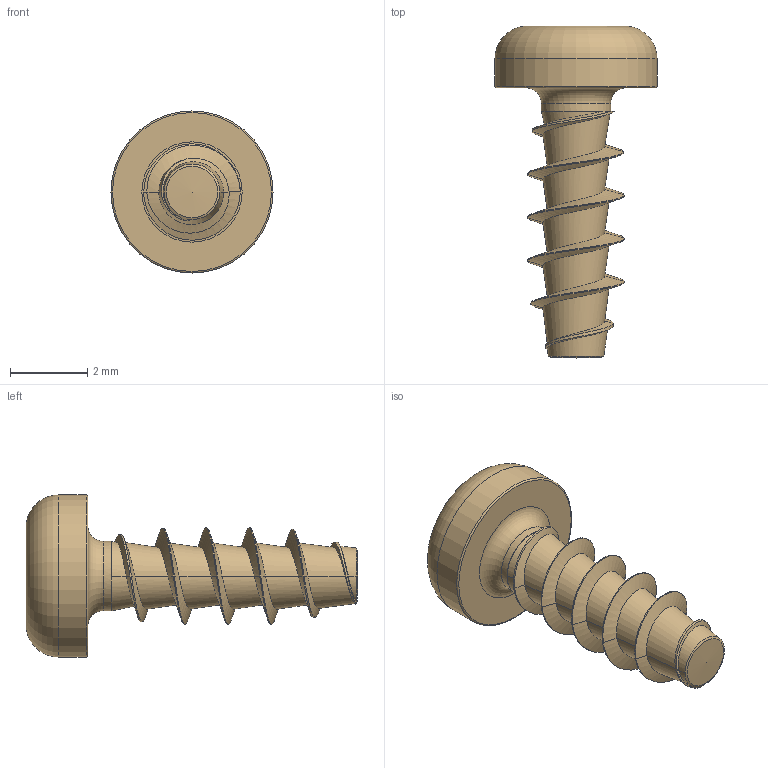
import cadquery as cq
import math


HEAD_RADIUS = 2.1
HEAD_HEIGHT = 1.6
HEAD_CROWN_RADIUS = 0.84
HEAD_EDGE_RADIUS = 0.04

SHANK_LENGTH = 7.0
NECK_RADIUS = 0.9
NECK_FILLET = 0.4
NECK_LENGTH = 0.61
TIP_RIM_SLOPE = 0.5
TIP_CONE_RADIUS = 0.67
TIP_CONE_HEIGHT = 0.02

PITCH = 1.12
FIRST_CREST_DEPTH = 0.55
FIRST_STATION = -2
LAST_STATION = 12
CREST_RADIUS = 1.25
CREST_WIDTH = 0.025
UPPER_FLANK_ANGLE = 15.5
LOWER_FLANK_ANGLE = 17.0
ROOT_TOP_RADIUS = 0.86
ROOT_BOTTOM_RADIUS = 0.74

CREST_RADIUS_AT = {-2: 1.15, -1: 1.15, 0: 1.0, 1: 1.14, 2: 1.23, 9: 1.17, 10: 0.96, 11: 0.79, 12: 0.71}
CREST_WIDTH_AT = {0: 0.06, 1: 0.04, 10: 0.09, 11: 0.05}
ROOT_TOP_RADIUS_AT = {-2: 1.03, -1: 1.03, 0: 0.89, 10: 0.82, 11: 0.745, 12: 0.7}
ROOT_BOTTOM_RADIUS_AT = {-2: 1.03, -1: 1.03, 0: 0.92, 1: 0.81, 12: 0.68, 13: 0.64, 14: 0.6}

STATIONS_PER_TURN = 2
CYLINDRICAL = 360.0
HALF_PITCH = PITCH / STATIONS_PER_TURN
TIP_EDGE_Z = -SHANK_LENGTH + TIP_CONE_HEIGHT
THREAD_TOP_Z = -NECK_LENGTH


def revolve_about_z(profile):
    """Full turn of an XZ outline about the screw axis."""
    return profile.revolve(360, (0, 0, 0), (0, 1, 0))


def make_head():
    """Pan head with a rounded crown and a slightly rounded lower edge."""
    profile = (
        cq.Workplane("XZ")
        .lineTo(HEAD_RADIUS - HEAD_EDGE_RADIUS, 0)
        .radiusArc((HEAD_RADIUS, HEAD_EDGE_RADIUS), -HEAD_EDGE_RADIUS)
        .lineTo(HEAD_RADIUS, HEAD_HEIGHT - HEAD_CROWN_RADIUS)
        .radiusArc((HEAD_RADIUS - HEAD_CROWN_RADIUS, HEAD_HEIGHT), -HEAD_CROWN_RADIUS)
        .lineTo(0, HEAD_HEIGHT)
        .close()
    )
    return revolve_about_z(profile)


def make_neck():
    """Short cylinder between the head and the thread, with a fillet under the head."""
    profile = (
        cq.Workplane("XZ")
        .moveTo(0, HEAD_EDGE_RADIUS)
        .lineTo(NECK_RADIUS + NECK_FILLET, HEAD_EDGE_RADIUS)
        .lineTo(NECK_RADIUS + NECK_FILLET, 0)
        .radiusArc((NECK_RADIUS, -NECK_FILLET), -NECK_FILLET)
        .lineTo(NECK_RADIUS, THREAD_TOP_Z)
        .lineTo(0, THREAD_TOP_Z)
        .close()
    )
    return revolve_about_z(profile)


def crest_z(station):
    return -FIRST_CREST_DEPTH - station * HALF_PITCH


def crest_radius(station):
    return CREST_RADIUS_AT.get(station, CREST_RADIUS)


def crest_half_width(station):
    return CREST_WIDTH_AT.get(station, CREST_WIDTH) / 2




def upper_foot(station):
    radius = ROOT_BOTTOM_RADIUS_AT.get(station, ROOT_BOTTOM_RADIUS)
    rise = (crest_radius(station) - radius) * math.tan(math.radians(UPPER_FLANK_ANGLE))
    return radius, crest_z(station) + crest_half_width(station) + rise


def crest_top(station):
    return crest_radius(station), crest_z(station) + crest_half_width(station)


def crest_bottom(station):
    return crest_radius(station), crest_z(station) - crest_half_width(station)


def lower_foot(station):
    radius = ROOT_TOP_RADIUS_AT.get(station, ROOT_TOP_RADIUS)
    drop = (crest_radius(station) - radius) * math.tan(math.radians(LOWER_FLANK_ANGLE))
    return radius, crest_z(station) - crest_half_width(station) - drop


def next_upper_foot(station):
    return upper_foot(station + STATIONS_PER_TURN)


SECTION_CORNERS = (upper_foot, crest_top, crest_bottom, lower_foot, next_upper_foot)


def half_turn_edge(corner, station):
    """Right-handed, possibly conical helix of one corner, from station + 1 up to station."""
    start_radius, start_z = corner(station + 1)
    end_radius, end_z = corner(station)
    growth = end_radius - start_radius
    rise = end_z - start_z
    slant = math.hypot(growth, rise)
    cone_angle = math.degrees(math.atan2(growth, rise)) if growth else CYLINDRICAL
    helix = cq.Wire.makeHelix(STATIONS_PER_TURN * slant, slant, start_radius, angle=cone_angle)
    start_angle = 360 / STATIONS_PER_TURN * (station + 1)
    placed = helix.rotate(cq.Vector(0, 0, 0), cq.Vector(0, 0, 1), start_angle)
    return placed.translate(cq.Vector(0, 0, start_z)).Edges()[0]


def strip_faces(station):
    """Flanks, crest and root of the half turn below a station."""
    edges = [half_turn_edge(corner, station) for corner in SECTION_CORNERS]
    return [cq.Face.makeRuledSurface(a, b) for a, b in zip(edges, edges[1:])]


def end_faces(station):
    """Close the thread at a station: a spiral floor of one turn and the step between its ends."""
    turn = range(station, station + STATIONS_PER_TURN + 1)
    axis = [cq.Vector(0, 0, upper_foot(level)[1]) for level in turn]
    faces = []
    for level, upper, lower in zip(turn, axis, axis[1:]):
        axis_edge = cq.Edge.makeLine(lower, upper)
        faces.append(cq.Face.makeRuledSurface(axis_edge, half_turn_edge(upper_foot, level)))
    section = [corner(station) for corner in SECTION_CORNERS]
    outline = [cq.Vector(radius, 0, z) for radius, z in section] + axis[::-1]
    faces.append(cq.Face.makeFromWires(cq.Wire.makePolygon(outline, close=True)))
    return faces


def make_thread_body():
    """Threaded shank that overruns the neck and the tip."""
    faces = end_faces(FIRST_STATION) + end_faces(LAST_STATION)
    for station in range(FIRST_STATION, LAST_STATION):
        faces += strip_faces(station)
    return cq.Workplane(cq.Solid.makeSolid(cq.Shell.makeShell(faces)).fix())


def make_trim():
    """Space the threaded shank is cut to: flat below the neck, a shallow cone at the tip."""
    reach = 2 * CREST_RADIUS
    profile = (
        cq.Workplane("XZ")
        .moveTo(0, THREAD_TOP_Z)
        .lineTo(reach, THREAD_TOP_Z)
        .lineTo(reach, TIP_EDGE_Z + TIP_RIM_SLOPE * (reach - TIP_CONE_RADIUS))
        .lineTo(TIP_CONE_RADIUS, TIP_EDGE_Z)
        .lineTo(0, -SHANK_LENGTH)
        .close()
    )
    return revolve_about_z(profile)


threaded_shank = make_thread_body().intersect(make_trim())
screw = make_head().union(make_neck()).union(threaded_shank)
result = screw.solids().rotate((0, 0, 0), (1, 0, 0), -90)